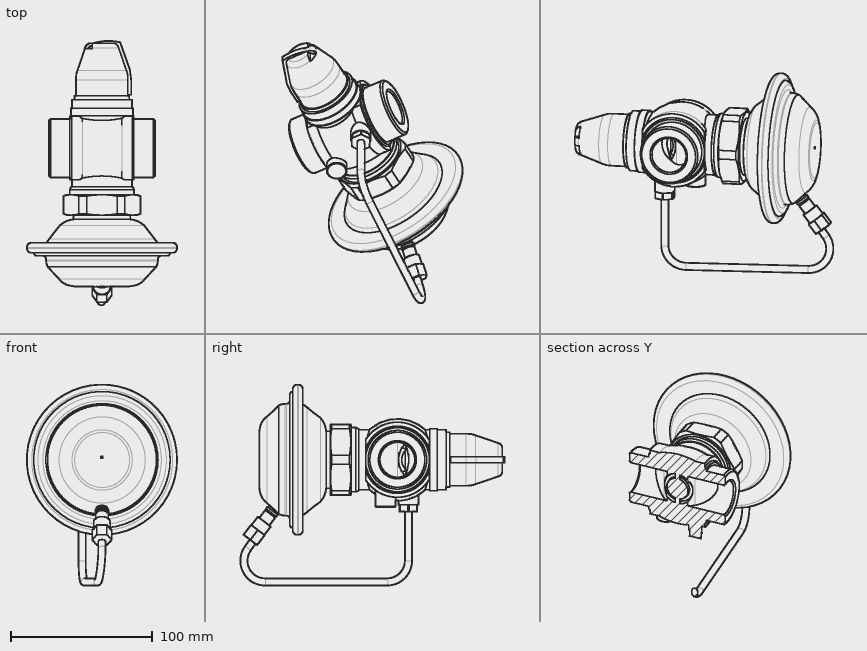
import cadquery as cq
import math


hexagon_ratio = math.cos(math.pi / 6)

barrel_radius = 28.9
barrel_half_length = 14.0
collar_radius = 26.5
collar_face = 21.5
step_radius = 23.7
step_face = 22.5
step_chamfer = 1.1
body_half_width = 22.3

port_radius = 20.7
port_end = 37.5
port_chamfer = 1.3

seat_y = 5.4
seat_radius = 12.5
seat_floor_radius = 11.0
seat_floor_y = 1.0
seat_top_y = 9.7
web_half_thickness = 1.9
plug_radius = 8.4

bore_radius = 12.3
bore_chamfer = 1.1
bore_inner_end = 2.2
seat_wall = 5.5
ledge_wall = 12.1
lower_wall = 25.3

cap_end = 74.0
cap_radius = 18.5
cap_start = 36.9
cap_straight_end = 48.2
cap_shoulder = (17.3, 55.0)
cap_shoulder_middle = (18.3, 51.5)
cap_tip_edge = (12.0, 70.8)
cap_tip_middle = (10.8, 72.8)
cap_face_radius = 8.8
neck_radius = 21.2
flange_radius = 22.0
flange_start = 22.7
flange_end = 28.1
ring_radius = 19.4
ring_start = 34.3
notch_floor = 70.0
notch_wall = -6.9
strap_width = 5.8
strap_thickness = 1.7
seal_width = 4.5
seal_outer = 20.7
seal_start = 37.6
seal_inner = 16.5
seal_shoulder = (19.7, 55.3)
seal_corner = (12.9, 74.7)
seal_peak = (3.7, 75.6)
seal_tail_y = 73.8
seal_root_y = 72.6
seal_root_x = 7.5

nut_start = -32.5
nut_end = -47.3
nut_across_flats = 50.0
nut_corner_radius = 27.2
nut_chamfer_height = 1.1
nut_chamfer_depth = 2.8
stem_radius = 20.1
shoulder_radius = 22.7
bevel_radius = 21.8
bevel_start = -27.2
bevel_end = -29.2

housing_start = -50.1
back_face_radius = 20.7
back_bend_middle = (25.7, -51.5)
back_bend_end = (29.8, -54.4)
back_cone_end = (37.0, -63.7)
back_root_radius = 39.1
rim_front = -73.8
rim_back = -66.5
rim_diameter = 106.0
rim_crest_width = 0.5
front_step_radius = 48.0
front_step_middle = (47.3, -75.2)
front_step_foot = 45.3
front_face = -75.8
waist_fillet_start = 41.7
waist_fillet_middle = (40.0, -76.5)
waist_radius = 39.5
waist_y = -78.8
waist_width = 0.7
front_bend_middle = (39.1, -81.4)
front_bend_end = (38.4, -83.5)
front_cone_end = (30.4, -92.0)
front_dome_middle = (26.6, -95.4)
front_dome_end = (21.2, -97.0)
front_disc_radius = 19.4
housing_end = -97.4
dimple_radius = 0.7
dimple_depth = 0.5
dimple_z = 1.7

boss_x = 14.0
boss_radius = 7.0
inlet_boss_y = 7.8
inlet_boss_bottom = -31.7
plug_boss_y = -8.4
plug_boss_bottom = -33.3
plug_chamfer = 0.5
gland_bottom = -36.5
gland_across_flats = 12.7

tube_radius = 2.6
tube_bend_radius = 15.0
tube_low_z = -86.0
tube_end_y = -104.0
tube_end_z = -60.5
tube_end_angle = 54.0

fitting_end_y = -103.5
fitting_end_z = -56.5
fitting_angle = 52.5
fitting_hex_across_corners = 14.0
fitting_hex_length = 8.8
fitting_sections = [
    (5.8, 16.2),
    (4.5, 23.1),
    (4.0, 24.0),
    (4.7, 25.9),
    (4.1, 33.5),
]


def revolve_about_y(profile):
    return profile.close().revolve(360, (0, 0, 0), (0, 1, 0))


def disc_along_y(radius, y_start, y_end):
    low, high = sorted((y_start, y_end))
    return cq.Workplane("XZ", origin=(0, low, 0)).circle(radius).extrude(low - high)


def make_body():
    """Barrel with a stepped collar at each side, trimmed flat at its two necks."""
    barrel = (
        cq.Workplane("XY")
        .moveTo(-barrel_half_length, 0)
        .lineTo(-barrel_half_length, collar_radius)
        .threePointArc((0, barrel_radius), (barrel_half_length, collar_radius))
        .lineTo(barrel_half_length, 0)
        .close()
        .revolve(360, (0, 0, 0), (1, 0, 0))
    )
    collars = cq.Workplane("YZ").circle(collar_radius).extrude(collar_face, both=True)
    steps = (
        cq.Workplane("YZ")
        .circle(step_radius)
        .extrude(step_face, both=True)
        .faces("<X or >X")
        .chamfer(step_chamfer)
    )
    trim = cq.Workplane("XY").box(2 * step_face, 2 * body_half_width, 2 * barrel_radius)
    ports = (
        cq.Workplane("YZ")
        .circle(port_radius)
        .extrude(port_end, both=True)
        .faces("<X or >X")
        .chamfer(port_chamfer)
    )
    return barrel.union(collars).union(steps).intersect(trim).union(ports)


def make_bore(side):
    """Blind port bore with a chamfered mouth and a slanted end wall; side is -1 or +1 along X."""
    mouth_radius = bore_radius + bore_chamfer
    turned = (
        cq.Workplane("XY")
        .lineTo(0, bore_radius)
        .lineTo(port_end - bore_chamfer, bore_radius)
        .lineTo(port_end, mouth_radius)
        .lineTo(port_end, 0)
        .close()
        .revolve(360, (0, 0, 0), (1, 0, 0))
    )
    kept = (
        cq.Workplane("XY")
        .moveTo(port_end, mouth_radius)
        .lineTo(bore_inner_end, mouth_radius)
        .lineTo(seat_wall, seat_y)
        .lineTo(ledge_wall, 0)
        .lineTo(lower_wall, -mouth_radius)
        .lineTo(port_end, -mouth_radius)
        .close()
        .extrude(mouth_radius, both=True)
    )
    bore = turned.intersect(kept)
    if side < 0:
        return bore.mirror("YZ")
    return bore


def make_seat_chamber():
    """Conical pocket about the main axis, open into both bores around a web and the valve plug."""
    pocket = revolve_about_y(
        cq.Workplane("XY")
        .moveTo(0, seat_floor_y)
        .lineTo(seat_floor_radius, seat_floor_y)
        .lineTo(seat_radius, seat_y)
        .lineTo(0, seat_top_y)
    )
    web = cq.Workplane("XY").box(2 * web_half_thickness, 2 * body_half_width, 2 * seat_radius)
    plug = disc_along_y(plug_radius, seat_floor_y, seat_y)
    return pocket.cut(web).cut(plug)


def make_adjusting_cap():
    """Tapered cap on its stepped rings, notched at the tip beside a narrow strap."""

    def outline(inset):
        def inward(point):
            return point[0] - inset, point[1] - inset

        def sideways(point):
            return point[0] - inset, point[1]

        return revolve_about_y(
            cq.Workplane("XY")
            .moveTo(0, 0)
            .lineTo(neck_radius, 0)
            .lineTo(neck_radius, flange_start)
            .lineTo(flange_radius, flange_start)
            .lineTo(flange_radius, flange_end)
            .lineTo(neck_radius, flange_end)
            .lineTo(neck_radius, ring_start)
            .lineTo(ring_radius, ring_start)
            .lineTo(ring_radius, cap_start)
            .lineTo(cap_radius - inset, cap_start)
            .lineTo(cap_radius - inset, cap_straight_end)
            .threePointArc(sideways(cap_shoulder_middle), sideways(cap_shoulder))
            .lineTo(*inward(cap_tip_edge))
            .threePointArc(inward(cap_tip_middle), inward((cap_face_radius, cap_end)))
            .lineTo(0, cap_end - inset)
        )

    cap = outline(0)
    notch = (
        cq.Workplane("XY")
        .box(cap_radius, cap_end, 2 * cap_radius, centered=(False, False, True))
        .translate((notch_wall - cap_radius, notch_floor, 0))
    )
    strap_zone = cq.Workplane("XY").box(4 * cap_radius, 4 * cap_end, strap_width)
    strap = cap.cut(outline(strap_thickness)).intersect(strap_zone)
    return cap.cut(notch.cut(strap))


def make_seal_strip():
    """Flat strip that follows the +X flank of the cap and folds over its tip."""
    return (
        cq.Workplane("XY")
        .moveTo(seal_inner, seal_start)
        .lineTo(seal_outer, seal_start)
        .lineTo(seal_outer, cap_straight_end)
        .lineTo(*seal_shoulder)
        .lineTo(*seal_corner)
        .threePointArc(seal_peak, (notch_wall, seal_tail_y))
        .lineTo(notch_wall, seal_root_y)
        .lineTo(seal_root_x, seal_root_y)
        .close()
        .extrude(seal_width / 2, both=True)
    )


def make_union():
    """Neck, bevelled shoulder, union nut and the stem into the housing."""
    neck = revolve_about_y(
        cq.Workplane("XY")
        .moveTo(0, 0)
        .lineTo(neck_radius, 0)
        .lineTo(neck_radius, bevel_start)
        .lineTo(bevel_radius, bevel_start)
        .lineTo(shoulder_radius, bevel_end)
        .lineTo(shoulder_radius, nut_start)
        .lineTo(0, nut_start)
    )
    stem = disc_along_y(stem_radius, nut_start, housing_start)
    hexagon = (
        cq.Workplane("XZ", origin=(0, nut_start, 0))
        .polygon(6, nut_across_flats / hexagon_ratio)
        .extrude(nut_start - nut_end)
    )
    end_radius = nut_corner_radius - nut_chamfer_depth
    envelope = revolve_about_y(
        cq.Workplane("XY")
        .moveTo(0, nut_start)
        .lineTo(end_radius, nut_start)
        .lineTo(nut_corner_radius, nut_start - nut_chamfer_height)
        .lineTo(nut_corner_radius, nut_end + nut_chamfer_height)
        .lineTo(end_radius, nut_end)
        .lineTo(0, nut_end)
    )
    return neck.union(stem).union(hexagon.intersect(envelope))


def make_housing():
    """Two bulged covers clamped by a rounded rim."""
    rim_radius = rim_diameter / 2
    rim_middle = (rim_front + rim_back) / 2
    rim_round = (rim_back - rim_front - rim_crest_width) / 2
    rim_inner_radius = rim_radius - rim_round
    crest_back = rim_middle + rim_crest_width / 2
    crest_front = rim_middle - rim_crest_width / 2
    arc_offset = rim_round * math.sin(math.pi / 4)
    arc_radius = rim_inner_radius + arc_offset
    housing = revolve_about_y(
        cq.Workplane("XY")
        .moveTo(0, housing_start)
        .lineTo(back_face_radius, housing_start)
        .threePointArc(back_bend_middle, back_bend_end)
        .lineTo(*back_cone_end)
        .lineTo(back_root_radius, rim_back)
        .lineTo(rim_inner_radius, rim_back)
        .threePointArc((arc_radius, crest_back + arc_offset), (rim_radius, crest_back))
        .lineTo(rim_radius, crest_front)
        .threePointArc((arc_radius, crest_front - arc_offset), (rim_inner_radius, rim_front))
        .lineTo(front_step_radius, rim_front)
        .threePointArc(front_step_middle, (front_step_foot, front_face))
        .lineTo(waist_fillet_start, front_face)
        .threePointArc(waist_fillet_middle, (waist_radius, waist_y + waist_width / 2))
        .lineTo(waist_radius, waist_y - waist_width / 2)
        .threePointArc(front_bend_middle, front_bend_end)
        .lineTo(*front_cone_end)
        .threePointArc(front_dome_middle, front_dome_end)
        .lineTo(front_disc_radius, housing_end)
        .lineTo(0, housing_end)
    )
    dimple = (
        cq.Workplane("XZ", origin=(0, housing_end, dimple_z))
        .circle(dimple_radius)
        .extrude(-dimple_depth)
    )
    return housing.cut(dimple)


def make_bosses():
    """Tube boss with its hexagonal gland, and the plain plug boss diagonally opposite."""
    inlet = (
        cq.Workplane("XY", origin=(-boss_x, inlet_boss_y, 0))
        .circle(boss_radius)
        .extrude(inlet_boss_bottom)
    )
    gland = (
        cq.Workplane("XY", origin=(-boss_x, inlet_boss_y, inlet_boss_bottom))
        .polygon(6, gland_across_flats / hexagon_ratio)
        .extrude(gland_bottom - inlet_boss_bottom)
        .intersect(
            cq.Workplane("XY", origin=(-boss_x, inlet_boss_y, 0))
            .circle(boss_radius)
            .extrude(gland_bottom)
        )
    )
    plug = (
        cq.Workplane("XY", origin=(boss_x, plug_boss_y, 0))
        .circle(boss_radius)
        .extrude(plug_boss_bottom)
        .faces("<Z")
        .chamfer(plug_chamfer)
    )
    return inlet.union(gland).union(plug)


def bend(before, corner, after):
    """Start, middle and end of the tube arc that rounds off a corner of its path."""
    back = (before - corner).normalized()
    ahead = (after - corner).normalized()
    half_angle = back.getAngle(ahead) / 2
    tangent_length = tube_bend_radius / math.tan(half_angle)
    centre_distance = tube_bend_radius / math.sin(half_angle)
    middle = corner + (back + ahead).normalized() * (centre_distance - tube_bend_radius)
    return corner + back * tangent_length, middle, corner + ahead * tangent_length


def make_tube():
    """Tube from the gland, down, along the bottom and up into the housing fitting."""
    slope = math.tan(math.radians(tube_end_angle))
    run_end_y = tube_end_y - (tube_end_z - tube_low_z) / slope
    start = cq.Vector(-boss_x, inlet_boss_y, gland_bottom)
    near_corner = cq.Vector(-boss_x, inlet_boss_y, tube_low_z)
    far_corner = cq.Vector(0, run_end_y, tube_low_z)
    reach = fitting_hex_length
    angle = math.radians(tube_end_angle)
    end = cq.Vector(
        0,
        tube_end_y + reach * math.cos(angle),
        tube_end_z + reach * math.sin(angle),
    )
    near_in, near_mid, near_out = bend(start, near_corner, far_corner)
    far_in, far_mid, far_out = bend(near_corner, far_corner, end)
    path = cq.Wire.assembleEdges([
        cq.Edge.makeLine(start, near_in),
        cq.Edge.makeThreePointArc(near_in, near_mid, near_out),
        cq.Edge.makeLine(near_out, far_in),
        cq.Edge.makeThreePointArc(far_in, far_mid, far_out),
        cq.Edge.makeLine(far_out, end),
    ])
    return cq.Workplane("XY", origin=start.toTuple()).circle(tube_radius).sweep(cq.Workplane(path))


def make_fitting():
    """Hexagon and turned sections on one slanted axis, sunk into the housing."""
    angle = math.radians(fitting_angle)
    base = cq.Plane(
        origin=(0, fitting_end_y, fitting_end_z),
        xDir=(1, 0, 0),
        normal=(0, math.cos(angle), math.sin(angle)),
    )
    fitting = cq.Workplane(base).polygon(6, fitting_hex_across_corners).extrude(fitting_hex_length)
    start = fitting_hex_length
    for radius, end in fitting_sections:
        section = cq.Workplane(base).workplane(offset=start).circle(radius).extrude(end - start)
        fitting = fitting.union(section)
        start = end
    return fitting


regulator = (
    make_body()
    .union(make_adjusting_cap())
    .union(make_seal_strip())
    .union(make_union())
    .union(make_bosses())
    .cut(make_bore(-1))
    .cut(make_bore(1))
    .cut(make_seat_chamber())
    .union(make_housing())
    .union(make_fitting())
    .union(make_tube())
)
result = cq.Workplane(regulator.solids().val())